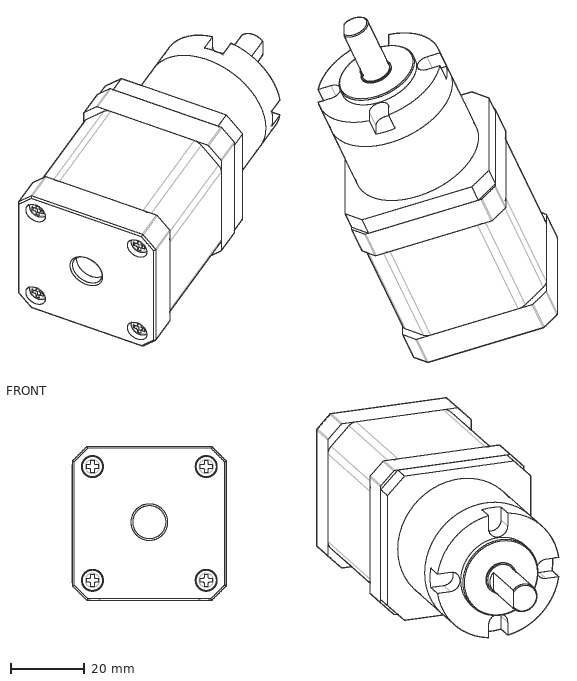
import cadquery as cq
MOTOR_OFFSET = 0.05
REAR_CAP_LENGTH = 9.0
STACK_LENGTH = 31.0
FRONT_CAP_LENGTH = 8.0
PLATE_LENGTH = 5.0
RING_LENGTH = 20.0
OUTPUT_CAP_LENGTH = 9.0
BOSS_LENGTH = 2.0
COLLAR_LENGTH = 0.35
SHAFT_PROTRUSION = 19.0

STACK_START = REAR_CAP_LENGTH
FRONT_CAP_START = STACK_START + STACK_LENGTH
PLATE_START = FRONT_CAP_START + FRONT_CAP_LENGTH
RING_START = PLATE_START + PLATE_LENGTH
OUTPUT_CAP_START = RING_START + RING_LENGTH
OUTPUT_FACE = OUTPUT_CAP_START + OUTPUT_CAP_LENGTH
BOSS_FACE = OUTPUT_FACE + BOSS_LENGTH
SHAFT_TIP = OUTPUT_FACE + SHAFT_PROTRUSION

FRAME_WIDTH = 42.0
CAP_CORNER = 4.0
CAP_EDGE_RADIUS = 0.5
CAP_FACE_CHAMFER = 0.5
STACK_CORNER = 7.0
STACK_EDGE_RADIUS = 3.0
REAR_HOLE_DIAMETER = 9.0
REAR_HOLE_DEPTH = 3.0
REAR_HOLE_CHAMFER = 0.5
REAR_HOLE_RISE = 0.35

SCREW_SPACING = 31.0
HEAD_DIAMETER = 5.5
HEAD_HEIGHT = 2.0
HEAD_EDGE_RADIUS = 0.8
HEAD_RECESS_DIAMETER = 6.0
HEAD_SINK = 1.2
SHANK_DIAMETER = 3.0
CROSS_LENGTH = 3.3
CROSS_WIDTH = 1.0
CROSS_DEPTH = 1.0
CROSS_CORNER_RADIUS = 0.4
RECESS_DEPTH = HEAD_SINK + HEAD_HEIGHT

PLATE_CORNER = 5.0
GEARBOX_DIAMETER = 36.0
BOSS_DIAMETER = 22.0
BOSS_CHAMFER = 0.3
SLOT_WIDTH = 5.6
SLOT_DEPTH = 5.0
SLOT_CENTRE_RADIUS = 14.0
SLOT_COUNT = 4

SHAFT_DIAMETER = 8.0
COLLAR_DIAMETER = 8.8
SHAFT_TIP_CHAMFER = 0.3
FLAT_DISTANCE = 3.0
FLAT_LENGTH = 15.0


def section(start, shift=0.0):
    """Sketch plane across Y at the given station; local x is X, local y is Z, normal is -Y."""
    return cq.Workplane("XZ", origin=(shift, start, shift))


def cylinder(start, end, diameter):
    """Round bar on the gearbox axis between two Y stations."""
    return section(start).circle(diameter / 2).extrude(start - end)


def octagonal_block(start, length, corner, edge_radius=0.0, shift=0.0):
    """Square block with its long corners cut at 45 degrees and the resulting edges rounded."""
    block = section(start, shift).rect(FRAME_WIDTH, FRAME_WIDTH).extrude(-length)
    block = block.edges("|Y").chamfer(corner)
    if edge_radius:
        block = block.edges("|Y").fillet(edge_radius)
    return block


def screw_positions(start):
    """Four screw points on the motor's bolt square at a Y station."""
    return section(start, MOTOR_OFFSET).rect(SCREW_SPACING, SCREW_SPACING, forConstruction=True).vertices()


def make_rear_cap():
    """Motor end cap with a blind central hole and sunk, drilled seats for the four screws."""
    cap = octagonal_block(0, REAR_CAP_LENGTH, CAP_CORNER, shift=MOTOR_OFFSET)
    cap = cap.faces("<Y").chamfer(CAP_FACE_CHAMFER).edges("|Y").fillet(CAP_EDGE_RADIUS)
    centre_hole = (
        section(0, MOTOR_OFFSET)
        .center(0, REAR_HOLE_RISE)
        .circle(REAR_HOLE_DIAMETER / 2)
        .extrude(-REAR_HOLE_DEPTH)
    )
    cap = cap.cut(centre_hole).faces("<Y").edges("%CIRCLE").chamfer(REAR_HOLE_CHAMFER)
    head_recesses = screw_positions(0).circle(HEAD_RECESS_DIAMETER / 2).extrude(-RECESS_DEPTH)
    shank_holes = screw_positions(0).circle(SHANK_DIAMETER / 2).extrude(-REAR_CAP_LENGTH)
    return cap.cut(head_recesses).cut(shank_holes)


def make_stack():
    """Motor body between the two end caps, with wider corner cuts."""
    return octagonal_block(STACK_START, STACK_LENGTH, STACK_CORNER, STACK_EDGE_RADIUS, MOTOR_OFFSET)


def make_front_cap():
    """Motor end cap on the gearbox side."""
    return octagonal_block(FRONT_CAP_START, FRONT_CAP_LENGTH, CAP_CORNER, CAP_EDGE_RADIUS, MOTOR_OFFSET)


def make_screw(x, z):
    """Cross-recessed pan head screw, its shank ending at the inner side of the rear cap."""
    top = cq.Workplane("XZ", origin=(x, HEAD_SINK, z))
    head = top.circle(HEAD_DIAMETER / 2).extrude(-HEAD_HEIGHT).faces("<Y").edges().fillet(HEAD_EDGE_RADIUS)
    shank = top.circle(SHANK_DIAMETER / 2).extrude(HEAD_SINK - REAR_CAP_LENGTH)
    cross = (
        top.rect(CROSS_LENGTH, CROSS_WIDTH)
        .extrude(-CROSS_DEPTH)
        .union(top.rect(CROSS_WIDTH, CROSS_LENGTH).extrude(-CROSS_DEPTH))
    )
    inner_corners = cq.selectors.BoxSelector(
        (x - CROSS_WIDTH, 0, z - CROSS_WIDTH),
        (x + CROSS_WIDTH, RECESS_DEPTH, z + CROSS_WIDTH),
    )
    cross = cross.edges("|Y").edges(inner_corners).fillet(CROSS_CORNER_RADIUS)
    return head.union(shank).cut(cross)


def make_gearbox_housing():
    """Mounting plate carrying the round ring gear housing."""
    plate = octagonal_block(PLATE_START, PLATE_LENGTH, PLATE_CORNER)
    return plate.union(cylinder(RING_START, OUTPUT_CAP_START, GEARBOX_DIAMETER))


def make_output_cap():
    """End cap with a raised boss, a shaft bore and four round-ended slots open to the rim."""
    cap = cylinder(OUTPUT_CAP_START, OUTPUT_FACE, GEARBOX_DIAMETER)
    boss = cylinder(OUTPUT_FACE, BOSS_FACE, BOSS_DIAMETER).faces(">Y").chamfer(BOSS_CHAMFER)
    cap = cap.union(boss).cut(cylinder(OUTPUT_CAP_START, BOSS_FACE, SHAFT_DIAMETER))

    slot_outer_end = GEARBOX_DIAMETER / 2 + SLOT_WIDTH
    slot = (
        section(OUTPUT_FACE)
        .center((SLOT_CENTRE_RADIUS + slot_outer_end) / 2, 0)
        .slot2D(slot_outer_end - SLOT_CENTRE_RADIUS + SLOT_WIDTH, SLOT_WIDTH)
        .extrude(SLOT_DEPTH)
    )
    for index in range(SLOT_COUNT):
        cap = cap.cut(slot.rotate((0, 0, 0), (0, 1, 0), index * 360 / SLOT_COUNT))
    return cap


def make_shaft():
    """Output shaft with a thin collar against the boss and a flat on its +X side."""
    shaft = cylinder(OUTPUT_CAP_START, SHAFT_TIP, SHAFT_DIAMETER).faces(">Y").chamfer(SHAFT_TIP_CHAMFER)
    collar = cylinder(BOSS_FACE, BOSS_FACE + COLLAR_LENGTH, COLLAR_DIAMETER)
    flat_cut = cq.Workplane("XY").box(
        SHAFT_DIAMETER, FLAT_LENGTH, SHAFT_DIAMETER, centered=(False, False, True)
    ).translate((FLAT_DISTANCE, SHAFT_TIP - FLAT_LENGTH, 0))
    return shaft.union(collar).cut(flat_cut)


rear_cap = make_rear_cap()
stack = make_stack()
front_cap = make_front_cap()
screws = [
    make_screw(MOTOR_OFFSET + side * SCREW_SPACING / 2, MOTOR_OFFSET + level * SCREW_SPACING / 2)
    for side in (-1, 1)
    for level in (-1, 1)
]
gearbox_housing = make_gearbox_housing()
output_cap = make_output_cap()
shaft = make_shaft()

result = cq.Compound.makeCompound([
    rear_cap.val(),
    stack.val(),
    front_cap.val(),
    *[screw.val() for screw in screws],
    gearbox_housing.val(),
    output_cap.val(),
    shaft.val(),
])